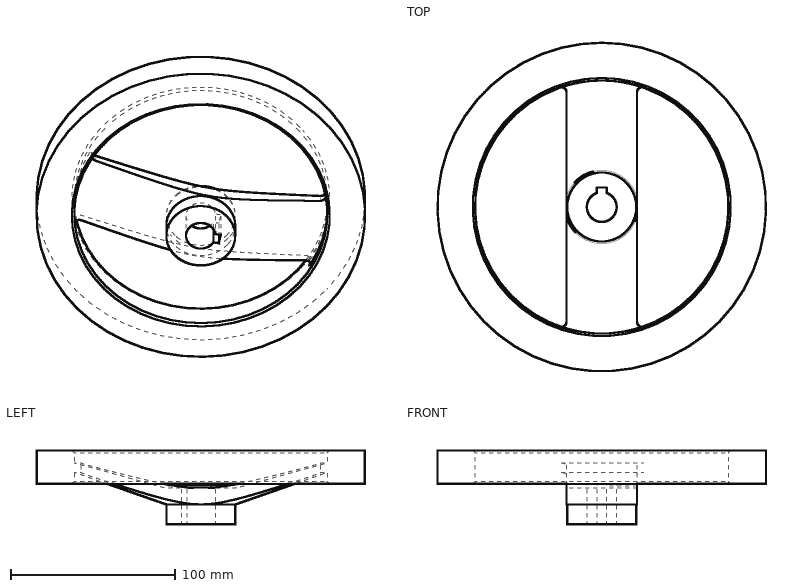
import cadquery as cq
import math

rim_radius = 100.0
rim_inner_radius = 77.0
rim_height = 20.4
rim_chamfer = 1.5

hub_radius = 21.0
hub_top = -20.8
hub_bottom = -45.0
hub_fillet = 1.0

spoke_half_width = 21.5
spoke_top_at_rim = -7.7
spoke_top_at_hub = -23.1
spoke_bottom_at_rim = -13.4
spoke_bottom_at_hub = -33.0
corner_fillet = 3.0

bore_diameter = 18.0
key_width = 6.0
key_floor_from_far_side = 20.8


def revolve_about_z(section):
    """Turn a closed (radius, Z) section into a solid of revolution."""
    return section.revolve(360, (0, 0, 0), (0, 1, 0))


def make_rim():
    """Ring with chamfered inner edges."""
    chamfered_radius = rim_inner_radius + rim_chamfer
    section = (
        cq.Workplane("YZ")
        .moveTo(chamfered_radius, 0)
        .lineTo(rim_radius, 0)
        .lineTo(rim_radius, -rim_height)
        .lineTo(chamfered_radius, -rim_height)
        .lineTo(rim_inner_radius, rim_chamfer - rim_height)
        .lineTo(rim_inner_radius, -rim_chamfer)
        .close()
    )
    return revolve_about_z(section)


def make_web_and_hub():
    """Hub with a full conical web that runs a little way into the rim."""
    web_span = rim_inner_radius - hub_radius
    top_slope = (spoke_top_at_rim - spoke_top_at_hub) / web_span
    bottom_slope = (spoke_bottom_at_rim - spoke_bottom_at_hub) / web_span

    web_end = (rim_inner_radius + rim_radius) / 2
    web_end_top = spoke_top_at_hub + top_slope * (web_end - hub_radius)
    web_end_bottom = spoke_bottom_at_hub + bottom_slope * (web_end - hub_radius)

    slope_angle = math.atan(top_slope)
    fillet_x = hub_radius + hub_fillet
    fillet_z = spoke_top_at_hub + hub_fillet * (top_slope + 1 / math.cos(slope_angle))

    def fillet_point(angle):
        return (fillet_x + hub_fillet * math.cos(angle), fillet_z + hub_fillet * math.sin(angle))

    cone_angle = slope_angle - math.pi / 2
    wall_angle = -math.pi
    middle_angle = (cone_angle + wall_angle) / 2

    section = (
        cq.Workplane("YZ")
        .moveTo(0, hub_bottom)
        .lineTo(hub_radius, hub_bottom)
        .lineTo(hub_radius, spoke_bottom_at_hub)
        .lineTo(web_end, web_end_bottom)
        .lineTo(web_end, web_end_top)
        .lineTo(*fillet_point(cone_angle))
        .threePointArc(fillet_point(middle_angle), fillet_point(wall_angle))
        .lineTo(hub_radius, hub_top)
        .lineTo(0, hub_top)
        .close()
    )
    return revolve_about_z(section)


def make_strip():
    """Block that trims the web to the width of the spokes."""
    return (
        cq.Workplane("XY")
        .workplane(offset=hub_bottom)
        .rect(2 * spoke_half_width, 2 * rim_radius)
        .extrude(-hub_bottom)
    )


def fillet_spoke_corners(body):
    """Round the four upright corners where the spoke sides meet the rim."""
    corner_y = math.sqrt(rim_inner_radius**2 - spoke_half_width**2)
    tolerance = 0.5
    for side in (-1, 1):
        for end in (-1, 1):
            x = side * spoke_half_width
            y = end * corner_y
            corner = cq.selectors.BoxSelector(
                (x - tolerance, y - tolerance, -rim_height),
                (x + tolerance, y + tolerance, 0),
            )
            body = body.edges("|Z").edges(corner).fillet(corner_fillet)
    return body


def make_keyed_bore():
    """Through bore with a keyway on its +Y side."""
    bore_radius = bore_diameter / 2
    key_floor = key_floor_from_far_side - bore_radius
    base = cq.Workplane("XY").workplane(offset=hub_bottom)
    bore = base.circle(bore_radius).extrude(-hub_bottom)
    keyway = base.center(0, key_floor / 2).rect(key_width, key_floor).extrude(-hub_bottom)
    return bore.union(keyway)


spokes_and_hub = make_web_and_hub().intersect(make_strip())
result = fillet_spoke_corners(make_rim().union(spokes_and_hub))
result = result.cut(make_keyed_bore())